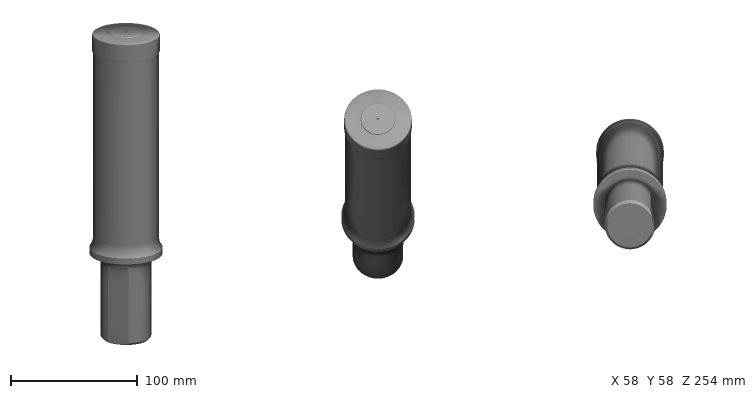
import cadquery as cq
import math

total_height = 254.0

shank_radius = 40.0 / 2
shank_length = 70.0
shank_chamfer = 2.0
flat_depth = 2.0
flat_length = 64.8

flange_radius = 58.0 / 2
flange_thickness = 5.3
flange_chamfer = 0.5
flare_height = 9.1

column_radius = 51.8 / 2

cap_radius = 53.3 / 2
cap_height = 15.5
cap_edge_round = 1.3
crown_rise = 0.5
boss_radius = 13.7
boss_height = 0.5
boss_chamfer = 0.5
center_hole_diameter = 2.0
center_hole_depth = 1.3

flange_top = shank_length + flange_thickness
flare_top = flange_top + flare_height
cap_bottom = total_height - cap_height


def make_post():
    """Shank, flange and column turned about Z, with a flat on the -Y side of the shank."""
    flare_reach = flange_radius - column_radius
    flare_radius = (flare_reach**2 + flare_height**2) / (2 * flare_reach)
    half_angle = math.asin(flare_height / flare_radius) / 2
    flare_middle = (
        column_radius + flare_radius * (1 - math.cos(half_angle)),
        flare_top - flare_radius * math.sin(half_angle),
    )
    post = (
        cq.Workplane("XZ")
        .moveTo(0, 0)
        .lineTo(shank_radius - shank_chamfer, 0)
        .lineTo(shank_radius, shank_chamfer)
        .lineTo(shank_radius, shank_length)
        .lineTo(flange_radius - flange_chamfer, shank_length)
        .lineTo(flange_radius, shank_length + flange_chamfer)
        .lineTo(flange_radius, flange_top)
        .threePointArc(flare_middle, (column_radius, flare_top))
        .lineTo(column_radius, cap_bottom)
        .lineTo(0, cap_bottom)
        .close()
        .revolve(360, (0, 0, 0), (0, 1, 0))
    )
    flat_cutter = cq.Workplane("XY").box(
        2 * shank_radius, 2 * flat_depth, flat_length, centered=(True, True, False)
    ).translate((0, -shank_radius, 0))
    return post.cut(flat_cutter)


def make_cap():
    """Cap with a shallow conical crown, a low central boss and a small round blind hole."""
    crown_top = total_height - boss_height
    crown_edge = crown_top - crown_rise
    cap = (
        cq.Workplane("XZ")
        .moveTo(0, cap_bottom)
        .lineTo(cap_radius, cap_bottom)
        .lineTo(cap_radius, crown_edge - cap_edge_round)
        .radiusArc((cap_radius - cap_edge_round, crown_edge), -cap_edge_round)
        .lineTo(boss_radius, crown_top)
        .lineTo(boss_radius - boss_chamfer, total_height)
        .lineTo(0, total_height)
        .close()
        .revolve(360, (0, 0, 0), (0, 1, 0))
    )
    center_hole = (
        cq.Workplane("XY", origin=(0, 0, total_height))
        .circle(center_hole_diameter / 2)
        .extrude(-center_hole_depth)
    )
    return cap.cut(center_hole)


post = make_post()
cap = make_cap()

result = cq.Compound.makeCompound([post.val(), cap.val()])